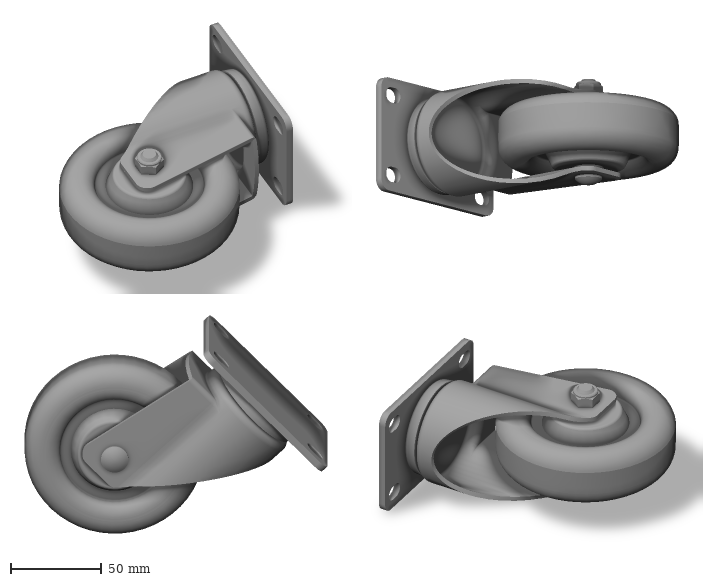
import cadquery as cq
import math


axle_x = 36.0
axle_y = -83.0

plate_length = 95.0
plate_width = 64.0
plate_thickness = 4.0
plate_corner_radius = 6.0
slot_pitch_x = 75.0
slot_pitch_z = 45.0
slot_length = 12.0
slot_width = 8.6
ring_bottom_y = -10.8
ring_shoulder_y = -6.6
ring_top_radius = 25.6
ring_shoulder_radius = 27.4
ring_bottom_radius = 27.8

sheet = 2.5
cup_radius = 29.6
cup_top_y = -11.8
cup_fillet = 4.0
neck_radius = 24.1
arm_outer_z = 22.9
arm_flat_start_x = 22.6
roof_y = -19.1
roof_edge_fillet = 2.9
roof_joint_fillet = 1.0
roof_end_x = 43.6
roof_end_side_x = 40.0
arm_bottom_y = -96.0
front_edge_top_x = 40.2
front_edge_angle = 10.0
front_corner_radius = 7.0
rear_edge_top_y = -23.0
rear_edge_slope = 1.352

wheel_radius = 50.0
tread_edge_radius = 49.85
tread_upper_z = 8.2
tread_lower_z = -5.9
wheel_half_width = 16.0
land_outer_radius = 39.7
land_inner_radius = 38.1
recess_radius = 30.3
recess_floor_z = 8.5
recess_floor_fillet = 0.9
hub_base_radius = 24.2
hub_shoulder_radius = 20.4
hub_shoulder_z = 16.7
hub_face_z = 17.6
hub_face_radius = 18.8
boss_radius = 8.4

bolt_radius = 5.0
bolt_end_z = 32.0
bolt_end_radius = 3.7
nut_across_flats = 14.0
nut_hex_top_z = 28.9
nut_top_z = 30.4
nut_collar_radius = 6.9
nut_collar_chamfer = 0.5
nut_chamfer_angle = 30.0
head_radius = 7.6
head_rim_height = 1.2
head_height = 4.4

arm_inner_z = arm_outer_z - sheet
arm_reach_x = 60.0
cut_margin = 1.0
tolerance = 0.01

blend_radius = (arm_flat_start_x**2 + arm_outer_z**2 - cup_radius**2) / (2 * (cup_radius - arm_outer_z))
blend_centre_z = arm_outer_z + blend_radius
blend_angle = math.atan2(arm_flat_start_x, blend_centre_z)


def make_plate():
    """Rectangular plate with four slots and the upper bearing ring."""
    plate = (
        cq.Workplane("XZ")
        .rect(plate_length, plate_width)
        .extrude(plate_thickness)
        .edges("|Y")
        .fillet(plate_corner_radius)
    )
    slots = (
        cq.Workplane("XZ")
        .rarray(slot_pitch_x, slot_pitch_z, 2, 2)
        .slot2D(slot_length, slot_width)
        .extrude(plate_thickness)
    )
    shoulder_drop = -plate_thickness - ring_shoulder_y
    shoulder_step = ring_shoulder_radius - ring_top_radius
    diagonal = math.sqrt(0.5)
    ring = (
        cq.Workplane("XY")
        .moveTo(0, -plate_thickness)
        .lineTo(ring_top_radius, -plate_thickness)
        .threePointArc(
            (
                ring_top_radius + shoulder_step * diagonal,
                ring_shoulder_y + shoulder_drop * diagonal,
            ),
            (ring_shoulder_radius, ring_shoulder_y),
        )
        .lineTo(ring_bottom_radius, ring_bottom_y)
        .lineTo(0, ring_bottom_y)
        .close()
        .revolve(360, (0, 0), (0, 1))
    )
    return plate.cut(slots).union(ring)


def cup_solid(radius, top_y, fillet):
    """Round cup body standing on the swivel axis with a rounded top rim."""
    return (
        cq.Workplane("XZ", origin=(0, top_y, 0))
        .circle(radius)
        .extrude(top_y - arm_bottom_y)
        .faces(">Y")
        .edges()
        .fillet(fillet)
    )


def arms_solid(half_z, radius, top_y, edge_fillet):
    """Straight-sided body whose flanks blend tangentially into the cup of the given radius."""
    tangent_x = radius * math.sin(blend_angle)
    tangent_z = radius * math.cos(blend_angle)
    flank_radius = blend_centre_z - half_z
    middle_x = arm_flat_start_x - flank_radius * math.sin(blend_angle / 2)
    middle_z = blend_centre_z - flank_radius * math.cos(blend_angle / 2)
    body = (
        cq.Workplane("XZ", origin=(0, top_y, 0))
        .moveTo(tangent_x, tangent_z)
        .threePointArc((middle_x, middle_z), (arm_flat_start_x, half_z))
        .lineTo(arm_reach_x, half_z)
        .lineTo(arm_reach_x, -half_z)
        .lineTo(arm_flat_start_x, -half_z)
        .threePointArc((middle_x, -middle_z), (tangent_x, -tangent_z))
        .close()
        .extrude(top_y - arm_bottom_y)
    )
    return body.faces(">Y").edges("not |Z").fillet(edge_fillet)


def rear_edge_y(x):
    """Height of the sloping rear edge of the fork at a place on its outer surface."""
    return rear_edge_top_y - rear_edge_slope * (x + cup_radius)


def fork_side_outline():
    """Side outline of the arms ahead of the blends, with the roof strip between them."""
    front_slope = math.tan(math.radians(front_edge_angle))
    front_bottom_x = front_edge_top_x + (roof_y - arm_bottom_y) * front_slope
    rear_corner_y = rear_edge_y(arm_flat_start_x)
    rear_corner_drop = rear_corner_y - arm_bottom_y
    rear_corner_run = rear_corner_drop / rear_edge_slope
    rear_tangent = math.hypot(rear_corner_run, rear_corner_drop)
    front_corner = cq.selectors.NearestToPointSelector((front_bottom_x, arm_bottom_y, 0))
    sides = (
        cq.Workplane("XY", origin=(0, 0, -cup_radius))
        .moveTo(-cup_radius, cup_top_y)
        .lineTo(front_edge_top_x, cup_top_y)
        .lineTo(front_edge_top_x, roof_y)
        .lineTo(front_bottom_x, arm_bottom_y)
        .lineTo(arm_flat_start_x + rear_corner_run + rear_tangent, arm_bottom_y)
        .tangentArcPoint((arm_flat_start_x, rear_corner_y), relative=False)
        .lineTo(arm_flat_start_x, arm_bottom_y)
        .lineTo(-cup_radius, arm_bottom_y)
        .close()
        .extrude(2 * cup_radius)
        .edges("|Z")
        .edges(front_corner)
        .fillet(front_corner_radius)
    )
    roof_strip = (
        cq.Workplane("XZ", origin=(0, roof_y, 0))
        .moveTo(0, cup_radius)
        .lineTo(roof_end_side_x, arm_outer_z)
        .threePointArc((roof_end_x, 0), (roof_end_side_x, -arm_outer_z))
        .lineTo(0, -cup_radius)
        .close()
        .extrude(sheet)
    )
    return sides.union(roof_strip)


def square_edge_cutter(centre_z, outer_radius, inner_radius, start_angle, end_angle):
    """Space below the sloping rear edge along one round stretch of the sheet.

    The upper face is ruled along the sheet normals, so the cut edge stays square to the sheet.
    Angles run from +X about the centre of the stretch: the swivel axis for the cup (centre_z of 0)
    and the blend axis for a blend.
    """
    centre_x = arm_flat_start_x if centre_z else 0

    def edge_curve(radius):
        def place(angle):
            outer_x = centre_x + outer_radius * math.cos(angle)
            return (
                centre_x + radius * math.cos(angle),
                rear_edge_y(outer_x),
                centre_z + radius * math.sin(angle),
            )

        curve = cq.Workplane("XY").parametricCurve(
            place, start=start_angle, stop=end_angle, makeWire=False
        )
        return curve.val()

    margin = math.copysign(cut_margin, outer_radius - inner_radius)
    past_outer = outer_radius + margin
    past_inner = inner_radius - margin
    top = cq.Face.makeRuledSurface(edge_curve(past_outer), edge_curve(past_inner))
    return cq.Workplane(cq.Solid.extrudeLinear(top, cq.Vector(0, 2 * arm_bottom_y, 0)))


def rear_edge_cutters():
    """Cutters for the cup wall and for the blend into each arm."""
    quarter = math.pi / 2
    cup = square_edge_cutter(
        0, cup_radius, cup_radius - sheet, quarter - blend_angle, 3 * quarter + blend_angle
    )
    blend = square_edge_cutter(
        blend_centre_z,
        blend_centre_z - arm_outer_z,
        blend_centre_z - arm_inner_z,
        -quarter - blend_angle,
        -quarter,
    )
    return [cup, blend, blend.mirror("XY")]


def fork_envelope(inset):
    """Cup and arms as one solid, set in from the outer fork surface by the given distance."""
    radius = cup_radius - inset
    top_y = roof_y - inset
    cup = cup_solid(radius, cup_top_y - inset, cup_fillet - inset)
    arms = arms_solid(arm_outer_z - inset, radius, top_y, roof_edge_fillet - inset)
    body = cup.union(arms).val()

    def joins_roof_to_cup(edge):
        in_roof = top_y - roof_edge_fillet < edge.Center().y < top_y + tolerance
        on_cup = all(abs(math.hypot(end.X, end.Z) - radius) < tolerance for end in edge.Vertices())
        return in_roof and on_cup and edge.Center().x > 0

    joint = [edge for edge in body.Edges() if joins_roof_to_cup(edge)]
    return cq.Workplane(body.fillet(roof_joint_fillet + inset, joint))


def make_fork():
    """Cup, two arms and the roof between them, all of one sheet thickness, with axle holes."""
    neck = (
        cq.Workplane("XZ", origin=(0, ring_bottom_y, 0))
        .circle(neck_radius)
        .extrude(ring_bottom_y - cup_top_y)
    )
    axle_hole = (
        cq.Workplane("XY")
        .center(axle_x, axle_y)
        .circle(bolt_radius)
        .extrude(arm_outer_z, both=True)
    )
    fork = fork_envelope(0).cut(fork_envelope(sheet)).intersect(fork_side_outline())
    for cutter in rear_edge_cutters():
        fork = fork.cut(cutter)
    return fork.union(neck).cut(axle_hole)


def make_wheel():
    """Crowned wheel with recessed webs, tapered hubs and end bosses that meet the fork arms."""
    tyre = (
        cq.Workplane("XZ", origin=(axle_x, axle_y, 0))
        .moveTo(bolt_radius, wheel_half_width)
        .lineTo(land_outer_radius, wheel_half_width)
        .tangentArcPoint((tread_edge_radius, tread_upper_z), relative=False)
        .threePointArc(
            (wheel_radius, (tread_upper_z + tread_lower_z) / 2),
            (tread_edge_radius, tread_lower_z),
        )
        .lineTo(bolt_radius, tread_lower_z)
        .close()
        .revolve(360, (0, 0), (0, 1))
    )
    lower_shoulder = (
        cq.Workplane("XZ", origin=(axle_x, axle_y, 0))
        .moveTo(bolt_radius, -wheel_half_width)
        .lineTo(land_outer_radius, -wheel_half_width)
        .tangentArcPoint((tread_edge_radius, tread_lower_z), relative=False)
        .lineTo(bolt_radius, tread_lower_z)
        .close()
        .revolve(360, (0, 0), (0, 1))
    )
    recess = web_recess()
    hub = hub_end()
    wheel = tyre.union(lower_shoulder)
    wheel = wheel.cut(recess).cut(recess.mirror("XY"))
    return wheel.union(hub).union(hub.mirror("XY"))


def web_recess():
    """Round recess in the upper wheel face with a rolled-in rim."""
    rim_bottom_z = recess_floor_z + recess_floor_fillet
    rim_run = land_inner_radius - recess_radius
    rim_rise = wheel_half_width - rim_bottom_z
    rim_radius = (rim_run**2 + rim_rise**2) / (2 * rim_rise)
    return (
        cq.Workplane("XZ", origin=(axle_x, axle_y, 0))
        .moveTo(bolt_radius, recess_floor_z)
        .lineTo(recess_radius - recess_floor_fillet, recess_floor_z)
        .tangentArcPoint((recess_radius, rim_bottom_z), relative=False)
        .radiusArc((land_inner_radius, wheel_half_width), rim_radius)
        .lineTo(bolt_radius, wheel_half_width)
        .close()
        .revolve(360, (0, 0), (0, 1))
    )


def hub_end():
    """Upper hub cone and the boss that spaces the wheel from the fork arm."""
    return (
        cq.Workplane("XZ", origin=(axle_x, axle_y, 0))
        .moveTo(bolt_radius, recess_floor_z)
        .lineTo(bolt_radius, arm_inner_z)
        .lineTo(boss_radius, arm_inner_z)
        .lineTo(boss_radius, hub_face_z)
        .lineTo(hub_face_radius, hub_face_z)
        .tangentArcPoint((hub_shoulder_radius, hub_shoulder_z), relative=False)
        .lineTo(hub_base_radius, recess_floor_z)
        .close()
        .revolve(360, (0, 0), (0, 1))
    )


def make_axle():
    """Bolt with a domed head below the fork and a collared hexagon nut above it."""
    nut_corner_radius = nut_across_flats / 2 / math.cos(math.pi / 6)
    chamfer_drop = (nut_corner_radius - nut_collar_radius) * math.tan(math.radians(nut_chamfer_angle))
    axle_frame = cq.Workplane("XZ", origin=(axle_x, axle_y, 0))
    nut = (
        cq.Workplane("XY", origin=(axle_x, axle_y, arm_outer_z))
        .polygon(6, 2 * nut_corner_radius)
        .extrude(nut_top_z - arm_outer_z)
    )
    nut_envelope = (
        axle_frame.moveTo(0, arm_outer_z)
        .lineTo(nut_corner_radius, arm_outer_z)
        .lineTo(nut_corner_radius, nut_hex_top_z - chamfer_drop)
        .lineTo(nut_collar_radius, nut_hex_top_z)
        .lineTo(nut_collar_radius, nut_top_z - nut_collar_chamfer)
        .lineTo(nut_collar_radius - nut_collar_chamfer, nut_top_z)
        .lineTo(0, nut_top_z)
        .close()
        .revolve(360, (0, 0), (0, 1))
    )
    rim_z = -arm_outer_z - head_rim_height
    head_bottom_z = -arm_outer_z - head_height
    dome_height = head_height - head_rim_height
    dome_radius = (head_radius**2 + dome_height**2) / (2 * dome_height)
    dome_middle_r = head_radius / 2
    dome_middle_z = head_bottom_z + dome_radius - math.sqrt(dome_radius**2 - dome_middle_r**2)
    bolt = (
        axle_frame.moveTo(0, head_bottom_z)
        .threePointArc((dome_middle_r, dome_middle_z), (head_radius, rim_z))
        .lineTo(head_radius, -arm_outer_z)
        .lineTo(bolt_radius, -arm_outer_z)
        .lineTo(bolt_radius, nut_top_z)
        .lineTo(bolt_end_radius, bolt_end_z)
        .lineTo(0, bolt_end_z)
        .close()
        .revolve(360, (0, 0), (0, 1))
    )
    return bolt.union(nut.intersect(nut_envelope))


plate = make_plate()
fork = make_fork()
wheel = make_wheel()
axle = make_axle()

bodies = [body.solids().val() for body in (plate, fork, wheel, axle)]
result = cq.Compound.makeCompound(bodies)